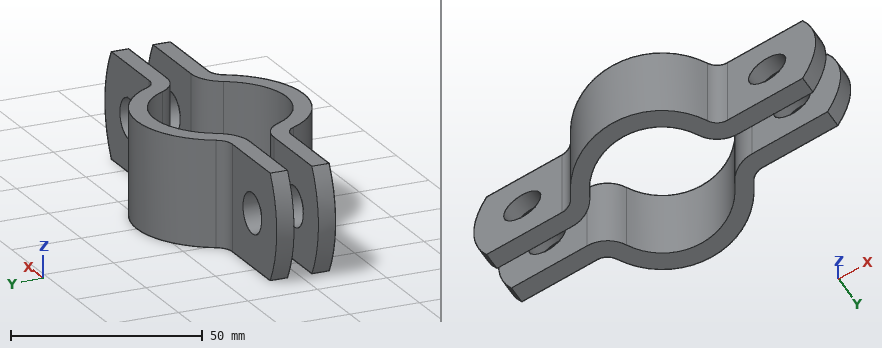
import cadquery as cq
import math

length = 106.0
width = 30.0
thickness = 5.0
outer_radius = 24.0
half_gap = 3.5
bend_radius = 5.0
hole_diameter = 11.5
hole_offset = 38.0
end_radius = width

half_length = length / 2
inner_radius = outer_radius - thickness
wide_bend_radius = bend_radius + thickness
ear_outer_y = half_gap + thickness

bend_y = ear_outer_y + bend_radius
bend_distance = outer_radius + bend_radius
bend_x = math.sqrt(bend_distance**2 - bend_y**2)
saddle_angle = math.atan2(bend_y, bend_x)
bend_middle_angle = (saddle_angle - 1.5 * math.pi) / 2


def saddle_point(radius, side):
    """Point where the saddle meets the bend; side is +1 or -1 along X."""
    return (side * radius * math.cos(saddle_angle), radius * math.sin(saddle_angle))


def bend_middle(radius, side):
    """Middle point of a bend arc."""
    x = bend_x + radius * math.cos(bend_middle_angle)
    y = bend_y + radius * math.sin(bend_middle_angle)
    return (side * x, y)


def bent_strip():
    """Saddle, two bends and two flat ears, extruded across the width."""
    return (
        cq.Workplane("XY")
        .workplane(offset=-width / 2)
        .moveTo(-half_length, ear_outer_y)
        .lineTo(-bend_x, ear_outer_y)
        .threePointArc(bend_middle(bend_radius, -1), saddle_point(outer_radius, -1))
        .threePointArc((0, outer_radius), saddle_point(outer_radius, 1))
        .threePointArc(bend_middle(bend_radius, 1), (bend_x, ear_outer_y))
        .lineTo(half_length, ear_outer_y)
        .lineTo(half_length, half_gap)
        .lineTo(bend_x, half_gap)
        .threePointArc(bend_middle(wide_bend_radius, 1), saddle_point(inner_radius, 1))
        .threePointArc((0, inner_radius), saddle_point(inner_radius, -1))
        .threePointArc(bend_middle(wide_bend_radius, -1), (-bend_x, half_gap))
        .lineTo(-half_length, half_gap)
        .close()
        .extrude(width)
    )


def rounded_end_envelope():
    """Block along Y whose two X ends are arcs."""
    end_sagitta = end_radius - math.sqrt(end_radius**2 - (width / 2)**2)
    corner_x = half_length - end_sagitta
    return (
        cq.Workplane("XZ")
        .moveTo(-corner_x, -width / 2)
        .lineTo(corner_x, -width / 2)
        .threePointArc((half_length, 0), (corner_x, width / 2))
        .lineTo(-corner_x, width / 2)
        .threePointArc((-half_length, 0), (-corner_x, -width / 2))
        .close()
        .extrude(-outer_radius)
    )


def ear_holes():
    """Cutters for the bolt holes through both ears."""
    return (
        cq.Workplane("XZ")
        .pushPoints([(-hole_offset, 0), (hole_offset, 0)])
        .circle(hole_diameter / 2)
        .extrude(-outer_radius)
    )


def clamp_half(turn):
    """One clamp half, turned about Z by the given angle in degrees."""
    half = bent_strip().intersect(rounded_end_envelope()).cut(ear_holes())
    return half.rotate((0, 0, 0), (0, 0, 1), turn)


clamp_halves = [clamp_half(turn) for turn in (0, 180)]

result = cq.Compound.makeCompound([half.val() for half in clamp_halves])